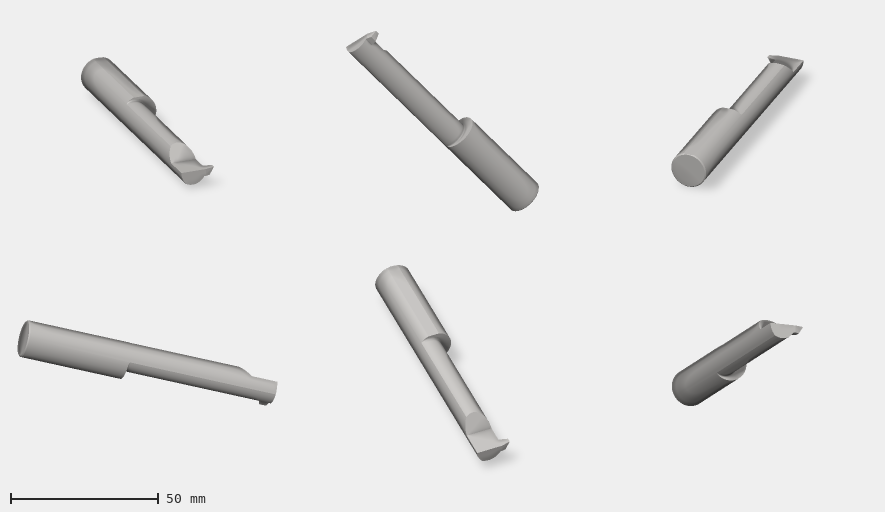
import cadquery as cq
import math

overall_length = 88.9
shank_diameter = 12.7
shank_radius = shank_diameter / 2
shank_length = 36.25
rear_chamfer = 0.4
flat_height = 6.06

neck_radius = 4.95
neck_offset_y = -2.2
neck_side_y = neck_offset_y + neck_radius
root_fillet = 0.5

head_height = 0.0
head_start_x = 79.75
runout_angle = 45.0

tooth_tip_y = 5.95
tooth_tip_width = 1.5
tooth_flank_angle = 15.0
tooth_thickness = 2.5
tooth_relief_angle = 35.0


def shank_cylinder(length):
    return cq.Workplane("YZ").circle(shank_radius).extrude(length)


def make_shank():
    shank = shank_cylinder(shank_length).faces("<X").chamfer(rear_chamfer)
    below_flat = (
        cq.Workplane("XY")
        .workplane(offset=flat_height - shank_diameter)
        .box(shank_length, shank_diameter, shank_diameter, centered=(False, True, False))
    )
    return shank.intersect(below_flat)


def make_neck():
    """Round neck with a fillet at the shoulder, kept inside the shank cylinder."""
    fillet_middle = root_fillet * (1 - math.sqrt(0.5))
    profile = (
        cq.Workplane("XZ")
        .moveTo(shank_length, 0)
        .lineTo(shank_length, neck_radius + root_fillet)
        .threePointArc(
            (shank_length + fillet_middle, neck_radius + fillet_middle),
            (shank_length + root_fillet, neck_radius),
        )
        .lineTo(overall_length, neck_radius)
        .lineTo(overall_length, 0)
        .close()
    )
    neck = profile.revolve(360, (0, 0, 0), (1, 0, 0)).translate((0, neck_offset_y, 0))
    return neck.intersect(shank_cylinder(overall_length))


def make_head_cut():
    """Space above the cutting face, open at the front and on both sides."""
    cut_top = shank_diameter
    runout_length = (cut_top - head_height) / math.tan(math.radians(runout_angle))
    return (
        cq.Workplane("XZ")
        .moveTo(head_start_x, head_height)
        .lineTo(overall_length, head_height)
        .lineTo(overall_length, cut_top)
        .lineTo(head_start_x - runout_length, cut_top)
        .close()
        .extrude(shank_diameter, both=True)
    )


def make_tooth():
    """Tapered tooth below the cutting face, with its tip sloping back underneath."""
    flank_run = (tooth_tip_y - neck_side_y) * math.tan(math.radians(tooth_flank_angle))
    tip_front_x = overall_length - flank_run
    tip_rear_x = tip_front_x - tooth_tip_width
    outline = (
        cq.Workplane("XY")
        .workplane(offset=head_height)
        .moveTo(overall_length, neck_offset_y)
        .lineTo(overall_length, neck_side_y)
        .lineTo(tip_front_x, tooth_tip_y)
        .lineTo(tip_rear_x, tooth_tip_y)
        .lineTo(tip_rear_x - flank_run, neck_side_y)
        .lineTo(tip_rear_x - flank_run, neck_offset_y)
        .close()
        .extrude(-tooth_thickness)
    )
    relief_run = tooth_thickness * math.tan(math.radians(tooth_relief_angle))
    side_profile = (
        cq.Workplane("YZ")
        .moveTo(neck_offset_y, head_height)
        .lineTo(tooth_tip_y, head_height)
        .lineTo(tooth_tip_y - relief_run, head_height - tooth_thickness)
        .lineTo(neck_offset_y, head_height - tooth_thickness)
        .close()
        .extrude(overall_length)
    )
    return outline.intersect(side_profile)


result = make_shank().union(make_neck()).cut(make_head_cut()).union(make_tooth())